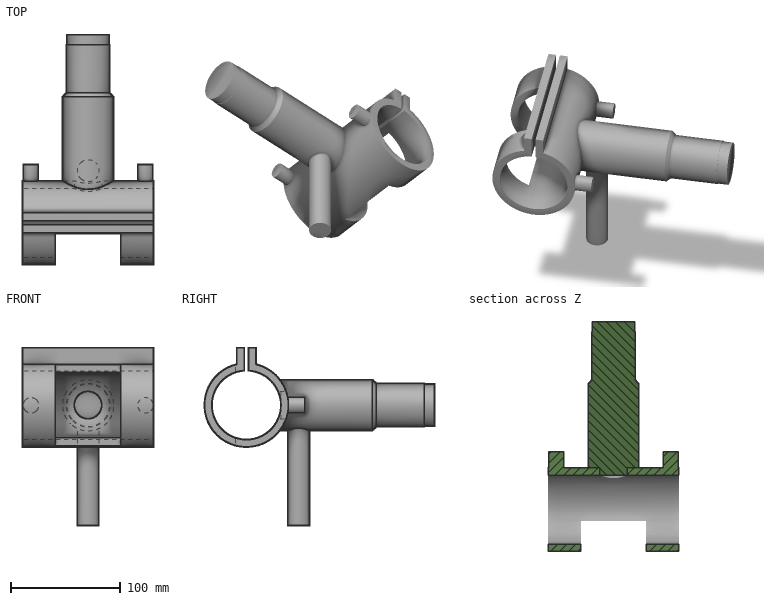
import cadquery as cq

clamp_length = 120.0
clamp_diameter = 77.0
clamp_radius = clamp_diameter / 2
wall = 7.0
bore_radius = clamp_radius - wall

lug_top = 52.8
lug_thickness = 7.2
slit_width = 3.5
lug_pair_width = 2 * lug_thickness + slit_width

window_length = 60.0
window_edge_y = -10.1

peg_diameter = 14.1
peg_spacing = 105.0
peg_end_y = 53.6

overall_length = 211.0
stem_end_y = overall_length - clamp_radius
stem_radius = 23.5
neck_radius = 20.0
tip_diameter = 39.0
tip_radius = tip_diameter / 2
tip_length = 9.5
neck_length = 53.5
neck_start_y = stem_end_y - neck_length
taper_length = 3.8
taper_start_y = neck_start_y - taper_length
spigot_diameter = 25.1
spigot_radius = spigot_diameter / 2

post_diameter = 20.0
post_y = 48.0
post_bottom = -110.6


def cylinder_x(radius):
    """Cylinder along X, as long as the clamp."""
    return cq.Workplane("YZ", origin=(-clamp_length / 2, 0, 0)).circle(radius).extrude(clamp_length)


def cylinder_y(radius, start_y, end_y, x=0):
    """Cylinder along Y between two Y positions."""
    plane = cq.Plane(origin=(x, start_y, 0), xDir=(1, 0, 0), normal=(0, 1, 0))
    return cq.Workplane(plane).circle(radius).extrude(end_y - start_y)


def make_clamp():
    """Split ring with lugs, window, two pegs and a hole for the stem's spigot."""
    lugs = cq.Workplane("XY").box(clamp_length, lug_pair_width, lug_top, centered=(True, True, False))
    slit = cq.Workplane("XY").box(clamp_length, slit_width, lug_top, centered=(True, True, False))
    body = cylinder_x(clamp_radius).union(lugs)
    for side in (-1, 1):
        body = body.union(cylinder_y(peg_diameter / 2, 0, peg_end_y, side * peg_spacing / 2))
    body = body.cut(cylinder_x(bore_radius)).cut(slit)

    window_depth = clamp_radius + window_edge_y
    window = (
        cq.Workplane("XY")
        .box(window_length, window_depth, 2 * clamp_radius)
        .translate((0, window_edge_y - window_depth / 2, 0))
    )
    spigot_hole = cylinder_y(spigot_radius, 0, clamp_radius)
    return body.cut(window).cut(spigot_hole)


def make_stem():
    """Stepped stem and post, saddled on the ring, with a flat-ended spigot in its wall."""
    profile = [
        (0, 0),
        (stem_radius, 0),
        (stem_radius, taper_start_y),
        (neck_radius, neck_start_y),
        (neck_radius, stem_end_y - tip_length),
        (tip_radius, stem_end_y - tip_length),
        (tip_radius, stem_end_y),
        (0, stem_end_y),
    ]
    shaft = cq.Workplane("XY").polyline(profile).close().revolve(360, (0, 0, 0), (0, 1, 0))
    post = cq.Workplane("XY").center(0, post_y).circle(post_diameter / 2).extrude(post_bottom)
    spigot = cylinder_y(spigot_radius, bore_radius, clamp_radius)
    return shaft.union(post).cut(cylinder_x(clamp_radius)).union(spigot)


clamp = make_clamp()
stem = make_stem()
result = cq.Compound.makeCompound([clamp.solids().val(), stem.solids().val()])